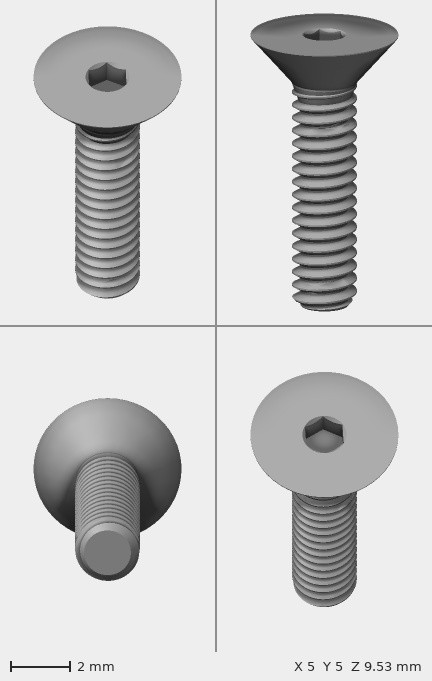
import cadquery as cq
import math

length = 9.53
head_diameter = 5.0
head_radius = head_diameter / 2

rim_height = 0.04
head_half_angle = 41.0

thread_radius = 1.1
root_radius = 0.81
counted_turns = 10
counted_rise = 4.53
pitch = counted_rise / counted_turns
flank_half_angle = 30.0
crest_width = pitch / 8
crest_height_at_x = 0.36
root_overlap = 0.04
runout_turns = 2

collar_height = 0.06
neck_height = 0.78

tip_radius = 0.79
trim_clearance = 0.1

socket_flats = 1.27
socket_depth = 0.83
countersink_radius = 0.74
countersink_depth = 0.11

cone_height = (head_radius - thread_radius) / math.tan(math.radians(head_half_angle))
collar_top = length - rim_height - cone_height
collar_bottom = collar_top - collar_height
neck_bottom = collar_bottom - neck_height


def revolve_profile(points):
    """Turn an (r, z) outline around the Z axis."""
    return cq.Workplane("XZ").polyline(points).close().revolve(360, (0, 0), (0, 1))


def make_head():
    """Countersunk head with the collar and the tapered neck."""
    return revolve_profile([
        (0, neck_bottom),
        (root_radius, neck_bottom),
        (thread_radius, collar_bottom),
        (thread_radius, collar_top),
        (head_radius, length - rim_height),
        (head_radius, length),
        (0, length),
    ])


def make_shank():
    """Core with a right-handed ridge, cut off by the tip chamfer and at the collar."""
    start = crest_height_at_x - runout_turns * pitch
    inner_radius = root_radius - root_overlap
    flank_rise = (thread_radius - inner_radius) * math.tan(math.radians(flank_half_angle))
    half_crest = crest_width / 2
    half_base = half_crest + flank_rise
    turns = math.ceil((collar_top - start) / pitch) + 1
    path = cq.Wire.makeHelix(pitch, turns * pitch, inner_radius)
    path = path.translate(cq.Vector(0, 0, start))
    ridge = (
        cq.Workplane("XZ")
        .polyline([
            (inner_radius, start - half_base),
            (thread_radius, start - half_crest),
            (thread_radius, start + half_crest),
            (inner_radius, start + half_base),
        ])
        .close()
        .sweep(cq.Workplane(path), isFrenet=True)
    )
    core = (
        cq.Workplane("XY", origin=(0, 0, start - pitch))
        .circle(root_radius)
        .extrude((turns + runout_turns) * pitch)
    )
    envelope_radius = thread_radius + trim_clearance
    envelope = revolve_profile([
        (0, 0),
        (tip_radius, 0),
        (envelope_radius, envelope_radius - tip_radius),
        (envelope_radius, collar_bottom),
        (0, collar_bottom),
    ])
    return core.union(ridge).intersect(envelope)


def make_socket():
    """Hexagonal recess with corners on the Y axis and a conical lead-in."""
    corner_diameter = socket_flats / math.cos(math.radians(30))
    hexagon = (
        cq.Workplane("XY", origin=(0, 0, length - socket_depth))
        .transformed(rotate=(0, 0, 90))
        .polygon(6, corner_diameter)
        .extrude(socket_depth)
    )
    lead_in = revolve_profile([
        (0, length),
        (countersink_radius, length),
        (socket_flats / 2, length - countersink_depth),
        (0, length - countersink_depth),
    ])
    return hexagon.union(lead_in)


result = make_head().union(make_shank()).cut(make_socket())